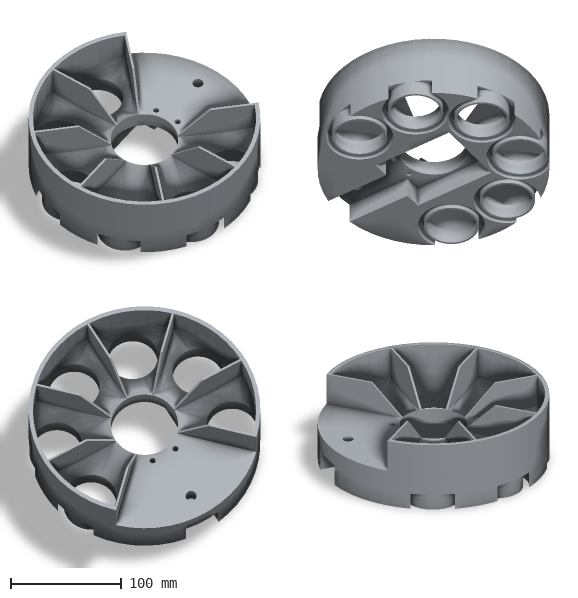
import cadquery as cq
import math

OUTER_R = 104.9
HEIGHT = 65.0
DECK_Z = 35.0
WALL = 4.0
HUB_R = 61.0 / 2

SECTOR = 45.0
OPEN_START = 135.0
OPEN_SECTORS = 6
DIVIDER = 2.01
DIVIDER_CREST_R = 60.5

TUBE_OUTER_R = 50.0 / 2
TUBE_INNER_R = 46.0 / 2
TUBE_PITCH_R = OUTER_R - TUBE_OUTER_R
TUBE_LENGTH = 15.0
CLEARANCE_R = 61.0 / 2

RECESS_Z = 20.1
RECESS_X = 67.1
RECESS_Y = 80.1
CHANNEL_X = 34.5

CABLE_HOLE_D = 10.0
CABLE_HOLE_Y = 83.5
SCREW_HOLE_D = 5.5
SCREW_HOLE_X = 12.0
SCREW_HOLE_Y = 35.0

INNER_R = OUTER_R - WALL


def cylinder(radius, bottom, top, x=0.0, y=0.0):
    return cq.Workplane("XY", origin=(x, y, bottom)).circle(radius).extrude(top - bottom)


def polar(radius, degrees, z, center=(0.0, 0.0)):
    angle = math.radians(degrees)
    return cq.Vector(center[0] + radius * math.cos(angle), center[1] + radius * math.sin(angle), z)


def arc(radius, start, end, z, center=(0.0, 0.0)):
    points = [polar(radius, a, z, center) for a in (start, (start + end) / 2, end)]
    return cq.Edge.makeThreePointArc(*points)


def mouth_wire(z):
    """Outline of a full sector between hub and wall, with its axis along +X."""
    half = SECTOR / 2
    return cq.Wire.assembleEdges([
        arc(INNER_R, -half, half, z),
        cq.Edge.makeLine(polar(INNER_R, half, z), polar(HUB_R, half, z)),
        arc(HUB_R, half, -half, z),
        cq.Edge.makeLine(polar(HUB_R, -half, z), polar(INNER_R, -half, z)),
    ])


def outlet_wire(z):
    """Tube bore as four arcs, split in proportion to the mouth's side lengths."""
    outer_length = INNER_R * math.radians(SECTOR)
    inner_length = HUB_R * math.radians(SECTOR)
    perimeter = outer_length + inner_length + 2 * (INNER_R - HUB_R)
    outer_half = 180 * outer_length / perimeter
    inner_half = 180 * inner_length / perimeter
    stops = [-outer_half, outer_half, 180 - inner_half, 180 + inner_half, 360 - outer_half]
    center = (TUBE_PITCH_R, 0.0)
    return cq.Wire.assembleEdges(
        [arc(TUBE_INNER_R, a, b, z, center) for a, b in zip(stops, stops[1:])])


def funnel():
    """Hollow of one compartment below the deck: mouth drawn down to the tube bore."""
    hollow = cq.Solid.makeLoft([outlet_wire(TUBE_LENGTH), mouth_wire(DECK_Z)], True)
    return cq.Workplane(obj=hollow)


def divider():
    """Upright radial plate along +X, sloping down to the hub rim at its inner end."""
    profile = [
        (HUB_R, TUBE_LENGTH),
        (HUB_R, DECK_Z),
        (DIVIDER_CREST_R, HEIGHT),
        (INNER_R + WALL / 2, HEIGHT),
        (INNER_R + WALL / 2, TUBE_LENGTH),
    ]
    return cq.Workplane("XZ").polyline(profile).close().extrude(DIVIDER / 2, both=True)


def turned(shape, degrees):
    return shape.rotate((0, 0, 0), (0, 0, 1), degrees)


def closed_sector_space():
    """Everything above the deck between the first and the last divider."""
    reach = 2 * OUTER_R
    tip = DIVIDER / 2 * math.sqrt(2)
    outline = [(0, tip), (reach, tip + reach), (-reach, tip + reach)]
    return cq.Workplane("XY", origin=(0, 0, DECK_Z)).polyline(outline).close().extrude(HEIGHT)


body = cylinder(OUTER_R, 0, HEIGHT)
body = body.cut(cylinder(INNER_R, DECK_Z, HEIGHT))
body = body.cut(closed_sector_space())

bore = cylinder(TUBE_INNER_R, 0, TUBE_LENGTH, TUBE_PITCH_R)
clearance = cylinder(CLEARANCE_R, 0, TUBE_LENGTH, TUBE_PITCH_R)
clearance = clearance.cut(cylinder(TUBE_OUTER_R, 0, TUBE_LENGTH, TUBE_PITCH_R))
for index in range(OPEN_SECTORS):
    axis_angle = OPEN_START + (index + 0.5) * SECTOR
    for space in (funnel(), bore, clearance):
        body = body.cut(turned(space, axis_angle))

for index in range(OPEN_SECTORS + 1):
    body = body.union(turned(divider(), OPEN_START + index * SECTOR))

body = body.cut(cylinder(HUB_R, 0, HEIGHT))
body = body.cut(cq.Workplane("XY").rect(RECESS_X, RECESS_Y).extrude(RECESS_Z))
body = body.cut(cq.Workplane("XY").center(0, OUTER_R / 2).rect(CHANNEL_X, OUTER_R).extrude(RECESS_Z))

body = body.cut(cylinder(CABLE_HOLE_D / 2, 0, DECK_Z, 0, CABLE_HOLE_Y))
for side in (-1, 1):
    body = body.cut(cylinder(SCREW_HOLE_D / 2, 0, DECK_Z, side * SCREW_HOLE_X, SCREW_HOLE_Y))

result = body